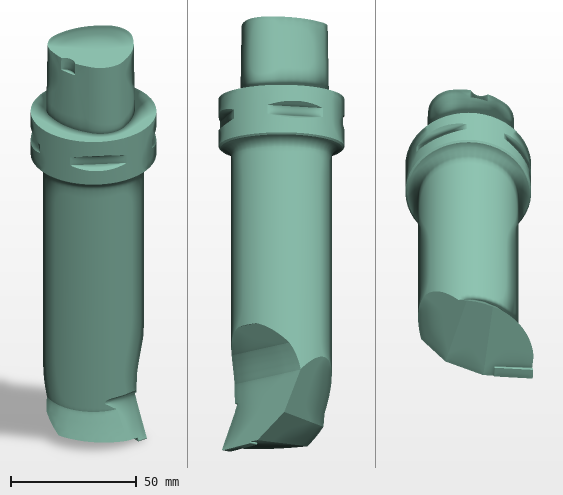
import math
import cadquery as cq

TOTAL_HEIGHT = 170.0
SHOULDER_Z = 140.2
FLANGE_BOTTOM_Z = 120.2
FLARE_TOP_Z = 14.3

FLANGE_RADIUS = 50.0 / 2
FLANGE_CHAMFER = 0.7
SHANK_RADIUS = 40.0 / 2
NECK_FILLET = 3.7
FLARE_SLOPE = 0.5
FLARE_END_Z = -1.7

LOBE_RADIUS = 18.9
FLANK_RADIUS = 16.3
SEAM_RADIUS = 17.5
SEAM_HALF_ANGLE = 34.3
COUPLING_TOP_SCALE = 0.972

KEYWAY_RADIUS = 4.6
KEYWAY_DEPTH_Y = -14.0
KEYWAY_HEIGHT = 5.3

SLOT_COUNT = 4
SLOT_Z = 130.4
SLOT_FLOOR_RADIUS = 22.3
SLOT_FLOOR_HEIGHT = 3.5
SLOT_MOUTH_HEIGHT = 7.0

RAKE_TURN = math.degrees(math.atan(0.238))
POCKET_TIP_DEPTH = 7.1
POCKET_RAMP_FOOT = (7.8, 25.7)
POCKET_BEND_MIDDLE = (9.5, 31.5)
POCKET_BEND_TOP = (11.9, 36.4)
POCKET_RAMP_TOP = (19.4, 44.9)

TIP_X = 27.2
INSERT_SIDE = 16.2
INSERT_THICKNESS = 4.0
INSERT_LEAD = 1.5
NOSE_RADIUS = 0.42
RELIEF_DIAMETER = 3.7
RELIEF_X = 21.5
RELIEF_Z = 17.7

FLANK_FLAT_POINT = (24.6, -8.0, 2.4)
FLANK_FLAT_NORMAL = (1.0, -0.13, 0.52)

BACK_SLOPE_TOP = (-51.0, 85.8)
BACK_SLOPE_CORNER = (-6.8, 10.0)
BACK_SLOPE_END = (26.5, -10.5)

END_FACE_Y = 5.5
END_FACE_Z = 1.0
END_FACE_SLOPE = 0.1

CUT_SIZE = 102.0


def polar(radius, degrees):
    angle = math.radians(degrees)
    return (radius * math.cos(angle), radius * math.sin(angle))


def lobed_outline(workplane, scale):
    """Three flank arcs alternating with three lobe arcs, one lobe on +Y."""
    outline = workplane.moveTo(*polar(SEAM_RADIUS * scale, -90 - SEAM_HALF_ANGLE))
    for flank_angle in (-90, 30, 150):
        lobe_angle = flank_angle + 60
        flank_end = flank_angle + SEAM_HALF_ANGLE
        lobe_end = flank_angle + 120 - SEAM_HALF_ANGLE
        outline = outline.threePointArc(
            polar(FLANK_RADIUS * scale, flank_angle), polar(SEAM_RADIUS * scale, flank_end)
        )
        outline = outline.threePointArc(
            polar(LOBE_RADIUS * scale, lobe_angle), polar(SEAM_RADIUS * scale, lobe_end)
        )
    return outline.close()


def make_coupling():
    height = TOTAL_HEIGHT - SHOULDER_Z
    base = lobed_outline(cq.Workplane("XY").workplane(offset=SHOULDER_Z), 1.0)
    coupling = lobed_outline(base.workplane(offset=height), COUPLING_TOP_SCALE).loft(ruled=True)
    keyway = (
        cq.Workplane("XY")
        .workplane(offset=TOTAL_HEIGHT - KEYWAY_HEIGHT)
        .center(0, KEYWAY_DEPTH_Y - KEYWAY_RADIUS)
        .circle(KEYWAY_RADIUS)
        .extrude(KEYWAY_HEIGHT)
    )
    return coupling.cut(keyway)


def make_turned_body():
    """Flange, filleted neck, shank and flared end as one revolved profile."""
    flare_radius = SHANK_RADIUS + FLARE_SLOPE * (FLARE_TOP_Z - FLARE_END_Z)
    fillet_middle = NECK_FILLET * (1 - math.sqrt(0.5))
    return (
        cq.Workplane("XZ")
        .moveTo(0, SHOULDER_Z)
        .lineTo(FLANGE_RADIUS, SHOULDER_Z)
        .lineTo(FLANGE_RADIUS, FLANGE_BOTTOM_Z + FLANGE_CHAMFER)
        .lineTo(FLANGE_RADIUS - FLANGE_CHAMFER, FLANGE_BOTTOM_Z)
        .lineTo(SHANK_RADIUS + NECK_FILLET, FLANGE_BOTTOM_Z)
        .threePointArc(
            (SHANK_RADIUS + fillet_middle, FLANGE_BOTTOM_Z - fillet_middle),
            (SHANK_RADIUS, FLANGE_BOTTOM_Z - NECK_FILLET),
        )
        .lineTo(SHANK_RADIUS, FLARE_TOP_Z)
        .lineTo(flare_radius, FLARE_END_Z)
        .lineTo(0, FLARE_END_Z)
        .close()
        .revolve(360, (0, 0, 0), (0, 1, 0))
    )


def make_gripper_slots():
    """Straight slots with sloping upper and lower walls, on the diagonals."""
    depth = FLANGE_RADIUS - SLOT_FLOOR_RADIUS
    slope = (SLOT_MOUTH_HEIGHT - SLOT_FLOOR_HEIGHT) / 2 / depth
    outer = FLANGE_RADIUS + 1.7
    floor_half = SLOT_FLOOR_HEIGHT / 2
    outer_half = floor_half + slope * (outer - SLOT_FLOOR_RADIUS)
    slot = (
        cq.Workplane("XZ")
        .polyline([
            (SLOT_FLOOR_RADIUS, SLOT_Z - floor_half),
            (outer, SLOT_Z - outer_half),
            (outer, SLOT_Z + outer_half),
            (SLOT_FLOOR_RADIUS, SLOT_Z + floor_half),
        ])
        .close()
        .extrude(FLANGE_RADIUS, both=True)
    )
    step = 360 / SLOT_COUNT
    return [slot.rotate((0, 0, 0), (0, 0, 1), step * (i + 0.5)) for i in range(SLOT_COUNT)]


def make_back_cut():
    """Material removed on -X below two successively flatter slopes."""
    return (
        cq.Workplane("XZ")
        .polyline([
            BACK_SLOPE_TOP,
            BACK_SLOPE_CORNER,
            BACK_SLOPE_END,
            (BACK_SLOPE_TOP[0], BACK_SLOPE_END[1]),
        ])
        .close()
        .extrude(CUT_SIZE / 2, both=True)
    )


def make_end_cut():
    """Material removed under an end face that rises toward -Y."""
    reach = CUT_SIZE / 2
    return (
        cq.Workplane("YZ")
        .polyline([
            (-reach, END_FACE_Z + END_FACE_SLOPE * (reach + END_FACE_Y)),
            (reach, END_FACE_Z - END_FACE_SLOPE * (reach - END_FACE_Y)),
            (reach, -reach),
            (-reach, -reach),
        ])
        .close()
        .extrude(reach, both=True)
    )


def make_chip_pocket():
    """Pocket on +Y: steep face, rounded bend and runout ramp."""
    foot_x, foot_z = POCKET_RAMP_FOOT
    below = -FLARE_END_Z
    face_slope = (foot_x - POCKET_TIP_DEPTH) / foot_z
    profile = (
        cq.Workplane("YZ")
        .moveTo(POCKET_TIP_DEPTH - face_slope * below, -below)
        .lineTo(foot_x, foot_z)
        .threePointArc(POCKET_BEND_MIDDLE, POCKET_BEND_TOP)
        .lineTo(*POCKET_RAMP_TOP)
        .lineTo(CUT_SIZE / 2, POCKET_RAMP_TOP[1])
        .lineTo(CUT_SIZE / 2, -below)
        .close()
        .extrude(CUT_SIZE / 2, both=True)
    )
    return profile.rotate((0, 0, 0), (0, 0, 1), -RAKE_TURN)


def rake_plane(x, z):
    """Plane on the pocket face at the given x and z, with its normal facing out."""
    turn = math.radians(RAKE_TURN)
    face_slope = (POCKET_RAMP_FOOT[0] - POCKET_TIP_DEPTH) / POCKET_RAMP_FOOT[1]
    y = (POCKET_TIP_DEPTH + face_slope * z - x * math.sin(turn)) / math.cos(turn)
    return cq.Plane(
        origin=(x, y, z),
        xDir=(-math.cos(turn), math.sin(turn), 0),
        normal=(math.sin(turn), math.cos(turn), -face_slope),
    )


def make_insert():
    """Equilateral prism with rounded noses, flush with the rake face."""
    plane = rake_plane(TIP_X, 0)
    return (
        cq.Workplane(plane)
        .polyline([(0, 0), polar(INSERT_SIDE, INSERT_LEAD), polar(INSERT_SIDE, INSERT_LEAD + 60)])
        .close()
        .extrude(-INSERT_THICKNESS)
        .edges(cq.selectors.ParallelDirSelector(plane.zDir))
        .fillet(NOSE_RADIUS)
    )


def make_relief_hole():
    """Corner relief, square to the rake face and open on -Y."""
    return (
        cq.Workplane(rake_plane(RELIEF_X, RELIEF_Z))
        .circle(RELIEF_DIAMETER / 2)
        .extrude(-CUT_SIZE / 2)
    )


def make_flank_flat():
    """Half space outside the flank flat, kept below the relief hole's axis."""
    outside = cq.Workplane(
        cq.Plane(origin=FLANK_FLAT_POINT, xDir=(0, 0, 1), normal=FLANK_FLAT_NORMAL)
    )
    outside = outside.rect(CUT_SIZE, CUT_SIZE).extrude(CUT_SIZE)
    below_relief = (
        cq.Workplane("XY")
        .workplane(offset=RELIEF_Z)
        .rect(CUT_SIZE, CUT_SIZE)
        .extrude(-CUT_SIZE)
    )
    return outside.intersect(below_relief)


def make_holder(insert):
    holder = make_turned_body().union(make_coupling())
    for slot in make_gripper_slots():
        holder = holder.cut(slot)
    holder = holder.cut(make_back_cut())
    holder = holder.cut(make_end_cut())
    holder = holder.cut(make_chip_pocket())
    holder = holder.cut(make_relief_hole())
    holder = holder.cut(make_flank_flat())
    return holder.cut(insert)


insert = make_insert()
holder = make_holder(insert)
result = cq.Compound.makeCompound([holder.solids().val(), insert.solids().val()])